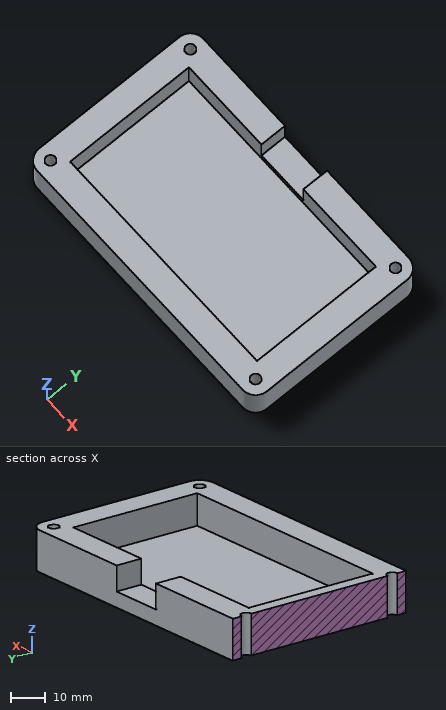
import cadquery as cq

length = 100.0
width = 63.0
height = 13.0
corner_radius = 5.0

wall = 9.0
floor_thickness = 3.0

notch_width = 18.4
notch_depth = 8.0

hole_diameter = 3.4


def make_block():
    block = cq.Workplane("XY").box(length, width, height, centered=(True, True, False))
    return block.edges("|Z").fillet(corner_radius)


def make_pocket():
    return (
        cq.Workplane("XY", origin=(0, 0, floor_thickness))
        .rect(length - 2 * wall, width - 2 * wall)
        .extrude(height - floor_thickness)
    )


def make_notch():
    return (
        cq.Workplane("XY", origin=(0, (width - wall) / 2, height - notch_depth))
        .rect(notch_width, wall)
        .extrude(notch_depth)
    )


def make_screw_holes():
    return (
        cq.Workplane("XY")
        .rect(length - 2 * corner_radius, width - 2 * corner_radius, forConstruction=True)
        .vertices()
        .circle(hole_diameter / 2)
        .extrude(height)
    )


result = make_block().cut(make_pocket()).cut(make_notch()).cut(make_screw_holes())